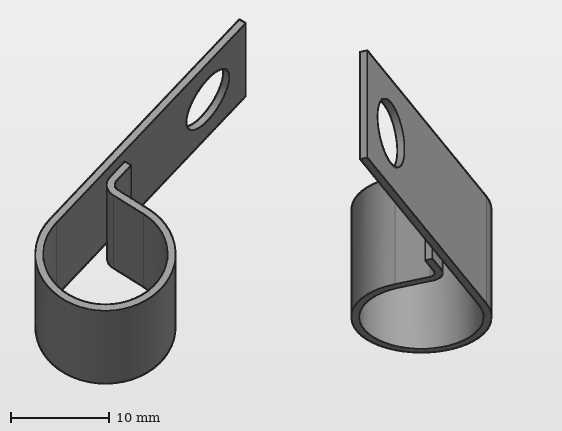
import cadquery as cq
import math

thickness = 0.8
width = 12.7
total_length = 38.9
outer_radius = 7.15
inner_radius = outer_radius - thickness
leg_end = total_length - outer_radius

lip_gap = 0.8
lip_end = 10.43
bend_inner_radius = 0.8
bend_outer_radius = bend_inner_radius + thickness
lip_left = -inner_radius + lip_gap
lip_right = lip_left + thickness
bend_x = lip_left + bend_outer_radius
bend_y = inner_radius + bend_outer_radius

hole_diameter = 7.15
hole_end_distance = 6.35

diagonal = math.sqrt(0.5)


def bend_middle(radius):
    """Midpoint of the lip bend at the given radius."""
    return (bend_x - radius * diagonal, bend_y - radius * diagonal)


def loop_middle(radius):
    """Midpoint of the three-quarter loop at the given radius."""
    return (radius * diagonal, -radius * diagonal)


def make_strip():
    """Leg, loop and lip as one bent strip of constant thickness."""
    return (
        cq.Workplane("XY")
        .moveTo(-outer_radius, leg_end)
        .lineTo(-outer_radius, 0)
        .threePointArc(loop_middle(outer_radius), (0, outer_radius))
        .lineTo(bend_x, outer_radius)
        .threePointArc(bend_middle(bend_inner_radius), (lip_right, bend_y))
        .lineTo(lip_right, lip_end)
        .lineTo(lip_left, lip_end)
        .lineTo(lip_left, bend_y)
        .threePointArc(bend_middle(bend_outer_radius), (bend_x, inner_radius))
        .lineTo(0, inner_radius)
        .threePointArc(loop_middle(inner_radius), (-inner_radius, 0))
        .lineTo(-inner_radius, leg_end)
        .close()
        .extrude(width)
    )


def make_hole():
    """Cutter for the hole, centred across the strip width."""
    return (
        cq.Workplane("YZ", origin=(-outer_radius, 0, 0))
        .center(leg_end - hole_end_distance, width / 2)
        .circle(hole_diameter / 2)
        .extrude(thickness)
    )


result = make_strip().cut(make_hole())